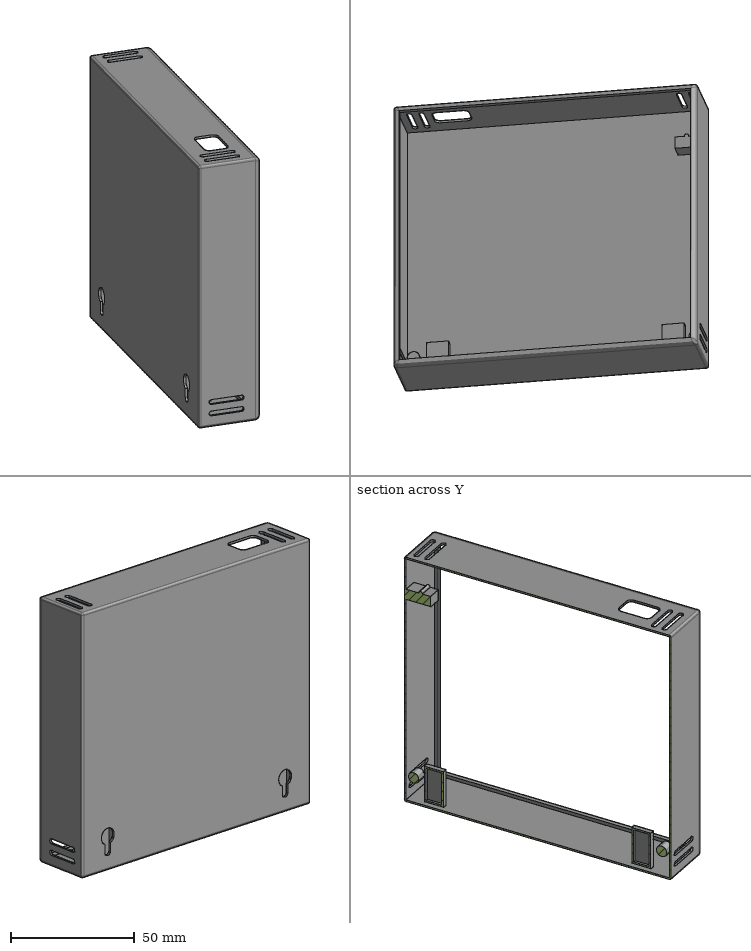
import cadquery as cq

length = 125.0
depth = 27.0
height = 115.0
wall = 1.0
root_y = wall / 2
edge_radius = 1.0
back_radius = 2.5

frame_inset = 2.5
frame_depth = 2.0

top_cut_height = 2 * wall
top_cut_z = height - top_cut_height

slot_length = 15.0
slot_width = 2.1
slot_pitch = 5.0
slot_y = 12.0
left_slot_x = 3.9
right_slot_inset = 5.1
side_slot_z = 6.0
slots_per_group = 2

window_length = 15.2
window_width = 10.2
window_radius = 2.2
window_x = 103.2
window_y = 13.6

keyhole_inset = 14.0
keyhole_z = 14.9
keyhole_radius = 3.5
keyhole_slot_width = 3.0
keyhole_slot_end_z = 6.5
pocket_half_width = 3.5
pocket_depth = 3.0
pocket_bottom_z = 3.5

post_diameter = 5.0
post_inset = 4.5
post_z = 12.2
post_top_y = 6.4

ledge_length = 12.5
ledge_height = 5.0
ledge_z = 100.0
ledge_top_y = 8.1
pin_diameter = 1.9
pin_x = 7.8


def block(x_min, x_max, y_min, y_max, z_min, z_max):
    """Box given by its limits along each axis."""
    size = (x_max - x_min, y_max - y_min, z_max - z_min)
    return cq.Workplane("XY").box(*size, centered=False).translate((x_min, y_min, z_min))


def rod(diameter, x, z, top_y):
    """Round rod along Y, rooted inside the front wall and ending at top_y."""
    bar = cq.Workplane("XZ").circle(diameter / 2).extrude(root_y - top_y)
    return bar.translate((x, root_y, z))


def rounded_body():
    """Solid outer shape: small rounds on the front and sides, larger ones around the back."""
    body = block(0, length, 0, depth, 0, height)
    body = body.edges("|Y").fillet(edge_radius)
    body = body.faces(">Y").edges().fillet(back_radius)
    return body.faces("<Y").edges().fillet(edge_radius)


def cavity():
    """Inside space, with a smaller opening that leaves a frame around the back."""
    inside = block(wall, length - wall, wall, depth - frame_depth, wall, height - wall)
    opening = block(
        frame_inset,
        length - frame_inset,
        wall,
        depth,
        frame_inset,
        height - frame_inset,
    )
    return inside.union(opening)


def keyhole_cover(x):
    """Closed box behind a keyhole."""
    margin = pocket_half_width + wall
    return block(
        x - margin,
        x + margin,
        root_y,
        pocket_depth + wall,
        pocket_bottom_z - wall,
        keyhole_z + margin,
    )


def keyhole(x):
    """Keyhole outline cut through the front wall, with its pocket inside the cover box."""
    head = cq.Workplane("XZ").circle(keyhole_radius).extrude(-wall).translate((x, 0, keyhole_z))
    half_width = keyhole_slot_width / 2
    round_z = keyhole_slot_end_z + half_width
    slot = block(x - half_width, x + half_width, 0, wall, round_z, keyhole_z)
    slot_end = cq.Workplane("XZ").circle(half_width).extrude(-wall).translate((x, 0, round_z))
    pocket = block(
        x - pocket_half_width,
        x + pocket_half_width,
        wall,
        pocket_depth,
        pocket_bottom_z,
        keyhole_z + pocket_half_width,
    )
    return head.union(slot).union(slot_end).union(pocket)


def ledge():
    """Flat ledge in the left corner, with the pin lying along it."""
    root_x = wall / 2
    shelf = block(root_x, ledge_length, root_y, ledge_top_y, ledge_z - ledge_height, ledge_z)
    return shelf.union(rod(pin_diameter, pin_x, ledge_z, ledge_top_y))


def top_slot(x):
    """Ventilation slot through the top wall."""
    slot = cq.Workplane("XY").slot2D(slot_length, slot_width, 90).extrude(top_cut_height)
    return slot.translate((x, slot_y, top_cut_z))


def side_slot(z):
    """Ventilation slot through both side walls."""
    slot = cq.Workplane("YZ").slot2D(slot_length, slot_width).extrude(length)
    return slot.translate((0, slot_y, z))


def cable_window():
    """Rounded rectangular opening through the top wall."""
    window = block(0, window_length, 0, window_width, 0, top_cut_height)
    window = window.edges("|Z").fillet(window_radius)
    corner = (window_x - window_length / 2, window_y - window_width / 2, top_cut_z)
    return window.translate(corner)


result = rounded_body().cut(cavity())

for step in range(slots_per_group):
    offset = step * slot_pitch
    result = result.cut(top_slot(left_slot_x + offset))
    result = result.cut(top_slot(length - right_slot_inset - offset))
    result = result.cut(side_slot(side_slot_z + offset))
result = result.cut(cable_window())

for post_x in (post_inset, length - post_inset):
    result = result.union(rod(post_diameter, post_x, post_z, post_top_y))
result = result.union(ledge())

for keyhole_x in (keyhole_inset, length - keyhole_inset):
    result = result.union(keyhole_cover(keyhole_x)).cut(keyhole(keyhole_x))